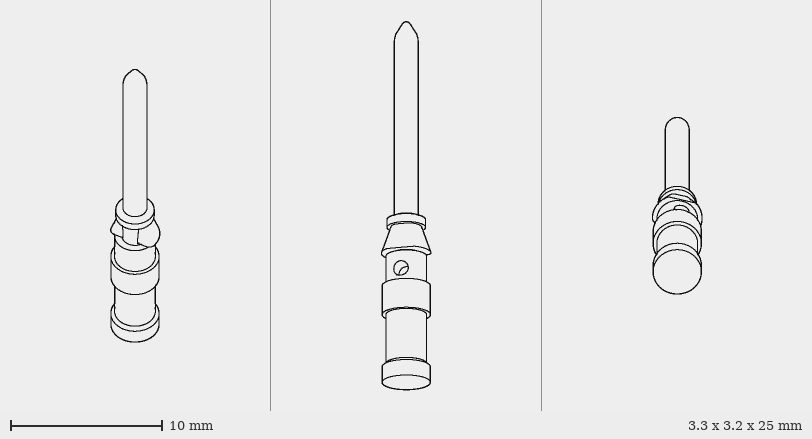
import cadquery as cq

total_height = 25.0
collar_radius = 1.6
body_radius = 1.35
neck_radius = 0.88
flange_radius = 1.28
pin_radius = 0.8

base_rim_top = 1.08
base_bevel_top = 1.3
collar_bottom = 4.7
collar_top = 6.7
body_top = 8.75
flange_bottom = 10.75
flange_rim_top = 11.3
flange_bevel_top = 11.5

pin_top = 23.62
nose_radius = 0.7
nose_bottom = 24.12
tip_radius = 0.25
tip_bottom = 24.88
shoulder_mid_radius = 0.78
shoulder_mid_height = (pin_top + nose_bottom) / 2

barb_bottom = 8.95
barb_top_radius = 1.02
barb_bottom_radius = 1.65
barb_front_top = -0.62
barb_front_bottom = -0.7
barb_back_top = 0.9
barb_back_bottom = 1.35
barb_corner_radius = 0.42

hole_radius = 0.5
hole_height = 7.52


def turned_body():
    """Revolve the stepped contact, from base rim to domed tip."""
    return (
        cq.Workplane("XZ")
        .lineTo(collar_radius, 0)
        .lineTo(collar_radius, base_rim_top)
        .lineTo(body_radius, base_bevel_top)
        .lineTo(body_radius, collar_bottom)
        .lineTo(collar_radius, collar_bottom)
        .lineTo(collar_radius, collar_top)
        .lineTo(body_radius, collar_top)
        .lineTo(body_radius, body_top)
        .lineTo(neck_radius, body_top)
        .lineTo(neck_radius, flange_bottom)
        .lineTo(flange_radius, flange_bottom)
        .lineTo(flange_radius, flange_rim_top)
        .lineTo(pin_radius, flange_bevel_top)
        .lineTo(pin_radius, pin_top)
        .threePointArc((shoulder_mid_radius, shoulder_mid_height), (nose_radius, nose_bottom))
        .lineTo(tip_radius, tip_bottom)
        .radiusArc((0, total_height), -tip_radius * 1.25)
        .close()
        .revolve(360, (0, 0, 0), (0, 1, 0))
    )


def barbs():
    """Cone flaring downward, with sloped flats front and back and rounded corners."""
    cone = (
        cq.Workplane("XY", origin=(0, 0, barb_bottom))
        .circle(barb_bottom_radius)
        .workplane(offset=flange_bottom - barb_bottom)
        .circle(barb_top_radius)
        .loft()
    )
    trim = (
        cq.Workplane("YZ")
        .polyline([
            (barb_front_bottom, barb_bottom),
            (barb_back_bottom, barb_bottom),
            (barb_back_top, flange_bottom),
            (barb_front_top, flange_bottom),
        ])
        .close()
        .extrude(barb_bottom_radius, both=True)
    )
    side_edges = cone.intersect(trim).edges("not(<Z or >Z)")
    return side_edges.fillet(barb_corner_radius)


def inspection_hole():
    """Radial hole reaching the body axis from +Y."""
    return (
        cq.Workplane("XZ", origin=(0, 0, hole_height))
        .circle(hole_radius)
        .extrude(-collar_radius)
    )


result = turned_body().union(barbs()).cut(inspection_hole())